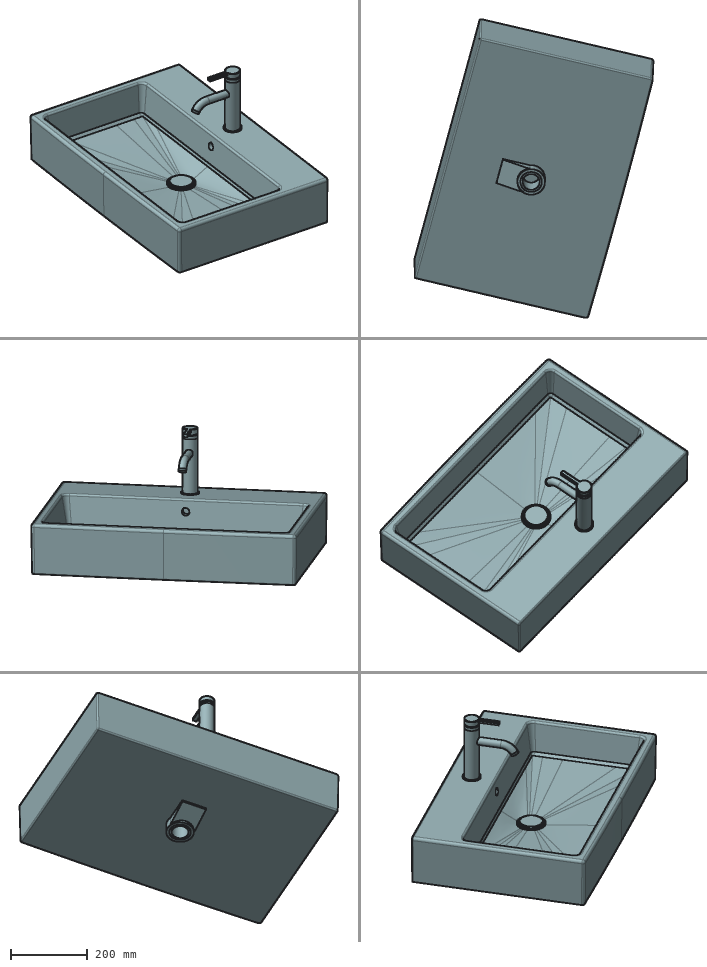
import cadquery as cq
import math


length = 700.18
depth = 470.09
basin_height = 135.3
front_bow = 3.0
draft = 2.0
outer_fillet = 8.0
bottom_fillet = 4.0
back_fillet = 4.0

lip_half_length = 325.0
lip_back = 107.0
lip_front = -208.5
lip_corner = 16.0
lip_fillet = 6.0
foot_half_length = 311.0
foot_back = 95.0
foot_front = -195.0
foot_corner = 10.0
foot_depth = 82.0
floor_bevel = 8.0
floor_depth = foot_depth + floor_bevel
floor_corner = foot_corner - floor_bevel
floor_half_length = foot_half_length - floor_bevel
floor_back = foot_back - floor_bevel / 2
floor_front = foot_front + floor_bevel
ray_x = 240.0
ray_y_back = 64.0
ray_y_front = -134.0
ray_angle_back = 30.0
ray_angle_back_side = 16.0
ray_angle_front_side = -27.0
ray_angle_front = -44.0
overflow_diameter = 20.0
overflow_z = -34.0
overflow_depth = 12.0

drain_y = 9.5
drain_depth = 113.0
flange_radius = 38.0
flange_thickness = 4.0
flange_chamfer = 1.0
plug_radius = 33.0
plug_thickness = 6.0
plug_edge = 3.0
boss_radius = 36.0
boss_drop = 27.0
boss_bottom = -basin_height - boss_drop
tail_radius = 28.0
tail_bore = 22.0
ramp_half_width = 34.0
ramp_back = 94.0
ramp_heel = 5.0
ramp_toe_y = 32.0
ramp_toe = 23.0

faucet_y = 170.0
overall_height = 337.58
faucet_top = overall_height + boss_bottom
base_radius = 24.0
base_height = 2.0
column_radius = 20.0
column_top = 148.0
collar_height = 9.0
cap_groove = 2.0
cap_groove_height = 2.0
cap_chamfer = 1.5
lever_width = 12.0
lever_height = 7.5
lever_tip_y = 96.0
lever_chamfer = 2.0
spout_radius = 10.5
spout_z = 110.0
spout_bend_y = 90.0
spout_bend_radius = 40.0
spout_bend_angle = math.radians(58.0)
aerator_length = 6.0


def cylinder(radius, bottom, top, y):
    """A vertical cylinder standing at X = 0."""
    return cq.Workplane("XY", origin=(0, y, bottom)).circle(radius).extrude(top - bottom)


def block_outline(plane, inset):
    """Basin outline with a bowed front; the back edge stays on the wall plane."""
    half = length / 2 - inset
    back = depth / 2
    corner_y = -depth / 2 + front_bow + inset
    bow_radius = (half**2 + front_bow**2) / (2 * front_bow)
    quarter_x = half / 2
    quarter_y = corner_y - front_bow + bow_radius - math.sqrt(bow_radius**2 - quarter_x**2)
    return (
        plane.moveTo(-half, back)
        .lineTo(half, back)
        .lineTo(half, corner_y)
        .threePointArc((quarter_x, quarter_y), (0, corner_y - front_bow))
        .threePointArc((-quarter_x, quarter_y), (-half, corner_y))
        .close()
    )


def basin_block():
    low = block_outline(cq.Workplane("XY", origin=(0, 0, -basin_height)), draft)
    block = block_outline(low.workplane(offset=basin_height), 0).loft(ruled=True)
    front_y = -depth / 2 + front_bow
    corner_box = cq.selectors.BoxSelector(
        (-length, front_y - outer_fillet, -basin_height + bottom_fillet),
        (length, front_y + outer_fillet, -outer_fillet),
    )
    block = block.edges(corner_box).fillet(outer_fillet)
    block = block.faces(">Z").edges("not(>Y)").fillet(outer_fillet)
    block = block.faces("<Z").edges("not(>Y)").fillet(bottom_fillet)
    return block.faces(">Y").edges().fillet(back_fillet)


def bowl_section(half_length, front, back, corner, z):
    """A rounded rectangle wire at height z."""
    center = (0, (front + back) / 2, z)
    plate = cq.Workplane("XY", origin=center).rect(2 * half_length, back - front).extrude(corner)
    return plate.edges("|Z").fillet(corner).faces("<Z").val().outerWire()


def floor_creases():
    """Points around the floor, each with the angle where its crease meets the drain ring."""
    right_half = [
        (0, floor_front, -90),
        (ray_x, floor_front, ray_angle_front),
        (floor_half_length, floor_front, (ray_angle_front + ray_angle_front_side) / 2),
        (floor_half_length, ray_y_front, ray_angle_front_side),
        (floor_half_length, drain_y, 0),
        (floor_half_length, ray_y_back, ray_angle_back_side),
        (floor_half_length, floor_back, (ray_angle_back_side + ray_angle_back) / 2),
        (ray_x, floor_back, ray_angle_back),
        (0, floor_back, 90),
    ]
    return right_half + [(-x, y, 180 - angle) for x, y, angle in reversed(right_half[:-1])]


def drain_point(angle):
    """The point on the drain ring at an angle in degrees from +X."""
    turn = math.radians(angle)
    return (flange_radius * math.cos(turn), drain_y + flange_radius * math.sin(turn))


def floor_funnel():
    """The sloping floor, ruled from the wall foot down to the drain ring."""
    creases = floor_creases()
    angles = [angle for _, _, angle in creases]
    ring = cq.Workplane("XY", origin=(0, 0, -drain_depth)).moveTo(*drain_point(angles[0]))
    for start, end in zip(angles, angles[1:]):
        ring = ring.threePointArc(drain_point((start + end) / 2), drain_point(end))
    corners = [(x, y) for x, y, _ in creases[:-1]]
    rim = cq.Workplane("XY", origin=(0, 0, -floor_depth)).polyline(corners).close()
    return cq.Workplane(cq.Solid.makeLoft([ring.wire().val(), rim.val()], True))


def bowl():
    """The hollow of the basin."""
    lip = bowl_section(lip_half_length, lip_front, lip_back, lip_corner, 0)
    foot = bowl_section(foot_half_length, foot_front, foot_back, foot_corner, -foot_depth)
    edge = bowl_section(floor_half_length, floor_front, floor_back, floor_corner, -floor_depth)
    wall = cq.Workplane(cq.Solid.makeLoft([foot, lip], True))
    bevel = cq.Workplane(cq.Solid.makeLoft([edge, foot], True))
    return wall.union(bevel).union(floor_funnel())


def underside():
    """The drain boss below the basin and the overflow ramp leading to it."""
    inside = -drain_depth - flange_thickness
    boss = cylinder(boss_radius, boss_bottom, inside, drain_y)
    ramp = (
        cq.Workplane("YZ")
        .polyline([
            (ramp_back, -basin_height),
            (ramp_back, -basin_height - ramp_heel),
            (ramp_toe_y, -basin_height - ramp_toe),
            (drain_y, -basin_height - ramp_toe),
            (drain_y, -basin_height),
        ])
        .close()
        .extrude(ramp_half_width, both=True)
    )
    return boss.union(ramp)


def make_basin():
    """Block with the bowl, the drain boss, the drain seat and the overflow recess."""
    basin = basin_block().cut(bowl())
    near = lip_fillet / 2
    lip_box = cq.selectors.BoxSelector(
        (-lip_half_length - near, lip_front - near, -near),
        (lip_half_length + near, lip_back + near, near),
    )
    basin = basin.edges(lip_box).fillet(lip_fillet)
    basin = basin.union(underside())
    basin = basin.cut(cylinder(flange_radius, -drain_depth - flange_thickness, -drain_depth, drain_y))
    basin = basin.cut(cylinder(tail_radius, boss_bottom, -drain_depth, drain_y))
    overflow = (
        cq.Workplane("XZ", origin=(0, lip_back + overflow_depth, overflow_z))
        .circle(overflow_diameter / 2)
        .extrude(2 * overflow_depth)
    )
    return basin.cut(overflow)


def make_drain():
    """Drain flange with its tail pipe below."""
    drain = cylinder(flange_radius, -drain_depth - flange_thickness, -drain_depth, drain_y)
    drain = drain.union(cylinder(tail_radius, boss_bottom, -drain_depth, drain_y))
    drain = drain.cut(cylinder(tail_bore, boss_bottom, -drain_depth, drain_y))
    return drain.faces(">Z").edges(cq.selectors.RadiusNthSelector(-1)).chamfer(flange_chamfer)


def make_plug():
    """Bevelled plug resting on the drain flange."""
    plug = cylinder(plug_radius, -drain_depth, -drain_depth + plug_thickness, drain_y)
    return plug.faces(">Z").chamfer(plug_edge)


def make_column():
    """Upright of the faucet, standing on the base ring."""
    return cylinder(column_radius, base_height, column_top, faucet_y)


def make_base_ring():
    """Thin ring between the faucet and the rim plane."""
    return cylinder(base_radius, 0, base_height, faucet_y)


def make_collar():
    """Ring between the column and the handle."""
    return cylinder(column_radius, column_top, column_top + collar_height, faucet_y)


def make_handle():
    """Cap on a recessed neck, with a flat lever reaching forward."""
    neck_bottom = column_top + collar_height
    cap_bottom = neck_bottom + cap_groove_height
    cap = cylinder(column_radius, cap_bottom, faucet_top, faucet_y).faces(">Z").chamfer(cap_chamfer)
    neck = cylinder(column_radius - cap_groove, neck_bottom, cap_bottom, faucet_y)
    lever_length = faucet_y - lever_tip_y
    lever = (
        cq.Workplane("XY", origin=(0, faucet_y - lever_length / 2, faucet_top - lever_height / 2))
        .box(lever_width, lever_length, lever_height)
        .edges("|Y and >Z")
        .chamfer(lever_chamfer)
    )
    return cap.union(neck).union(lever)


def spout_end():
    """Y and Z of the centre of the spout's outer end."""
    y = spout_bend_y - spout_bend_radius * math.sin(spout_bend_angle)
    z = spout_z - spout_bend_radius * (1 - math.cos(spout_bend_angle))
    return y, z


def make_spout():
    """Round bar running forward from the column and bending down."""
    half = spout_bend_angle / 2
    middle = (
        spout_bend_y - spout_bend_radius * math.sin(half),
        spout_z - spout_bend_radius * (1 - math.cos(half)),
    )
    path = (
        cq.Workplane("YZ")
        .moveTo(faucet_y, spout_z)
        .lineTo(spout_bend_y, spout_z)
        .threePointArc(middle, spout_end())
    )
    arm = cq.Workplane("XZ", origin=(0, faucet_y, spout_z)).circle(spout_radius).sweep(path)
    return arm.cut(make_column())


def make_aerator():
    """Disc closing the outer end of the spout."""
    y, z = spout_end()
    direction = (0, -math.cos(spout_bend_angle), -math.sin(spout_bend_angle))
    plane = cq.Plane(origin=(0, y, z), xDir=(1, 0, 0), normal=direction)
    return cq.Workplane(plane).circle(spout_radius).extrude(aerator_length)


basin = make_basin()
drain = make_drain()
plug = make_plug()
base_ring = make_base_ring()
column = make_column()
collar = make_collar()
handle = make_handle()
spout = make_spout()
aerator = make_aerator()

result = cq.Compound.makeCompound([
    basin.val(),
    drain.val(),
    plug.val(),
    base_ring.val(),
    column.val(),
    collar.val(),
    handle.val(),
    spout.val(),
    aerator.val(),
])